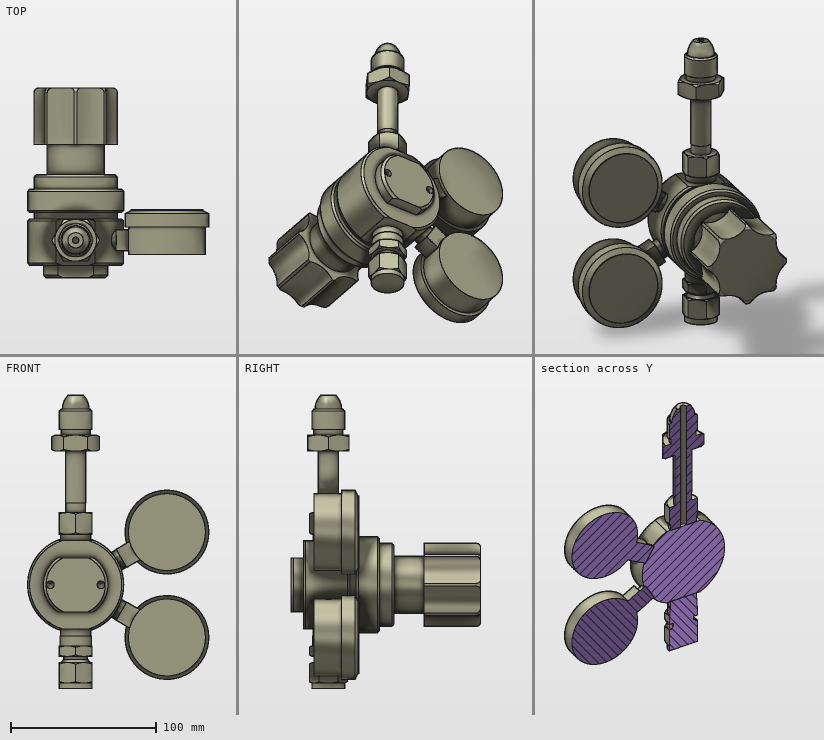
import cadquery as cq
import math


body_radius = 33.2
body_front_y = -17.2
body_back_y = 14.8
body_flat_z = 30.3
body_chamfer = 1.5
groove_radius = 28.7
ring_front_y = 19.2
ring_back_y = 35.2
bonnet_back_y = 45.3
bonnet_chamfer = 1.6
stem_radius = 19.8
stem_back_y = 66.0
cap_radius = 22.2
cap_front_y = -25.9
cap_chamfer = 1.8
cap_flat_z = 18.5
spanner_hole_x = 17.4
spanner_hole_radius = 2.6
spanner_hole_depth = 4.0
spanner_hole_point_angle = 118

knob_back_y = 105.0
knob_edge_fillet = 3.2
flute_count = 8
flute_depth = 5.3
land_width = 2.0

gauge_distance = 72.5
gauge_angles = (30, -30)
case_radius = 26.5
case_front_y = -10.0
rim_radius = 29.0
rim_front_y = 9.0
rim_edge_y = 18.4
rim_back_y = 21.2
rim_lip = 0.8
rim_bevel = 4.0
shank_width = 14.5
shank_start = 36.4
spigot_start = 31.3
spigot_radius = 7.0

connector_flats = 22.6
connector_hex_turn = 30
hex_chamfer_angle = 30
collar_radius = 10.5

inlet_hex_bottom_z = 34.8
inlet_hex_top_z = 49.7
stub_radius = 6.9
tube_bottom_z = 56.2
tube_radius = 7.0
nut_flats = 28.7
nut_bottom_z = 92.0
nut_top_z = 103.1
neck_radius = 10.1
thread_bottom_z = 107.0
thread_radius = 11.3
thread_chamfer = 1.2
nose_bottom_z = 121.0
nose_base_radius = 9.3
nose_middle_z = 127.0
nose_middle_radius = 7.9
nose_tip_radius = 5.3
inlet_top_z = 130.6
bore_radius = 2.2

outlet_collar_end_z = -35.4
outlet_shoulder_radius = 11.0
outlet_hex_top_z = -42.0
outlet_hex_bottom_z = -49.3
outlet_neck_radius = 8.3
outlet_flare_z = -51.4
outlet_flare_radius = 10.1
outlet_nut_top_z = -53.5
outlet_nut_bottom_z = -67.7
outlet_end_radius = connector_flats / 2
outlet_bottom_z = -71.5


def cylinder_y(radius, front_y, back_y):
    """Cylinder about the Y axis between two Y positions."""
    return cq.Workplane("XZ", origin=(0, front_y, 0)).circle(radius).extrude(front_y - back_y)


def cylinder_z(radius, bottom_z, top_z):
    """Cylinder about the Z axis between two Z positions."""
    return cq.Workplane("XY", origin=(0, 0, bottom_z)).circle(radius).extrude(top_z - bottom_z)


def cut_to_flats(solid, flat_z):
    """Cut a solid of the regulator off flat above and below its axis."""
    size = 4 * body_radius
    return solid.intersect(cq.Workplane("XY").box(size, size, 2 * flat_z))


def hexagon(flats, bottom_z, top_z, turn=0):
    """Hexagon about the Z axis with its corners chamfered at both ends."""
    corner_radius = flats / math.sqrt(3)
    prism = (
        cq.Workplane("XY", origin=(0, 0, bottom_z))
        .polygon(6, 2 * corner_radius)
        .extrude(top_z - bottom_z)
        .rotate((0, 0, 0), (0, 0, 1), turn)
    )
    chamfer_radial = corner_radius - flats / 2
    chamfer_axial = chamfer_radial * math.tan(math.radians(hex_chamfer_angle))
    envelope = (
        cq.Workplane("XZ")
        .moveTo(0, bottom_z)
        .lineTo(flats / 2, bottom_z)
        .lineTo(corner_radius, bottom_z + chamfer_axial)
        .lineTo(corner_radius, top_z - chamfer_axial)
        .lineTo(flats / 2, top_z)
        .lineTo(0, top_z)
        .close()
        .revolve(360, (0, 0, 0), (0, 1, 0))
    )
    return prism.intersect(envelope)


def along_gauge_shank(angle, distance):
    """Workplane facing outwards along a gauge shank, at a distance from the regulator axis."""
    direction = cq.Vector(math.cos(math.radians(angle)), 0, math.sin(math.radians(angle)))
    return cq.Workplane(cq.Plane(direction * distance, xDir=(0, 1, 0), normal=direction))


def make_spigot(angle):
    """Round end of a gauge shank, also the shape of its socket in the regulator."""
    return along_gauge_shank(angle, spigot_start).circle(spigot_radius).extrude(shank_start - spigot_start)


def make_spanner_hole(hole_x):
    """Drilled hole in the front of the cap, with a conical bottom."""
    point_depth = spanner_hole_radius / math.tan(math.radians(spanner_hole_point_angle / 2))
    return (
        cq.Workplane("XY", origin=(hole_x, cap_front_y, 0))
        .lineTo(spanner_hole_radius, 0)
        .lineTo(spanner_hole_radius, spanner_hole_depth)
        .lineTo(0, spanner_hole_depth + point_depth)
        .close()
        .revolve(360, (0, 0, 0), (0, 1, 0))
    )


def make_regulator():
    valve_body = cylinder_y(body_radius, body_front_y, body_back_y).edges().chamfer(body_chamfer)
    valve_body = cut_to_flats(valve_body, body_flat_z)

    cap = cylinder_y(cap_radius, cap_front_y, body_front_y).faces("<Y").edges().chamfer(cap_chamfer)
    cap = cut_to_flats(cap, cap_flat_z)

    groove = cylinder_y(groove_radius, body_back_y, ring_front_y)
    ring = cylinder_y(body_radius, ring_front_y, ring_back_y).edges().chamfer(body_chamfer)
    bonnet = cylinder_y(groove_radius, ring_back_y, bonnet_back_y).faces(">Y").edges().chamfer(bonnet_chamfer)
    stem = cylinder_y(stem_radius, bonnet_back_y, stem_back_y)
    regulator = valve_body.union(cap).union(groove).union(ring).union(bonnet).union(stem)

    for hole_x in (-spanner_hole_x, spanner_hole_x):
        regulator = regulator.cut(make_spanner_hole(hole_x))
    for angle in gauge_angles:
        regulator = regulator.cut(make_spigot(angle))
    return regulator


def make_knob():
    knob = cylinder_y(groove_radius, stem_back_y, knob_back_y).faces(">Y").edges().fillet(knob_edge_fillet)

    pitch = 2 * math.pi / flute_count
    half_angle = pitch / 2 - land_width / (2 * groove_radius)
    half_chord = groove_radius * math.sin(half_angle)
    arc_height = groove_radius * math.cos(half_angle) - (groove_radius - flute_depth)
    flute_radius = (half_chord**2 + arc_height**2) / (2 * arc_height)
    flute_distance = groove_radius - flute_depth + flute_radius

    flutes = (
        cq.Workplane("XZ", origin=(0, stem_back_y, 0))
        .polarArray(flute_distance, math.degrees(pitch / 2), 360, flute_count)
        .circle(flute_radius)
        .extrude(stem_back_y - knob_back_y, combine=False)
    )
    for flute in flutes.vals():
        knob = knob.cut(cq.Workplane(flute))
    return knob


def make_gauge(angle):
    center_x = gauge_distance * math.cos(math.radians(angle))
    center_z = gauge_distance * math.sin(math.radians(angle))
    dial = (
        cq.Workplane("XY")
        .moveTo(0, case_front_y)
        .lineTo(case_radius, case_front_y)
        .lineTo(case_radius, rim_front_y)
        .lineTo(rim_radius, rim_front_y)
        .lineTo(rim_radius, rim_edge_y)
        .lineTo(rim_radius - rim_bevel, rim_back_y - rim_lip)
        .lineTo(rim_radius - rim_bevel, rim_back_y)
        .lineTo(0, rim_back_y)
        .close()
        .revolve(360, (0, 0, 0), (0, 1, 0))
        .translate((center_x, 0, center_z))
    )
    shank = (
        along_gauge_shank(angle, shank_start)
        .rect(shank_width, shank_width)
        .extrude(gauge_distance - shank_start)
    )
    return dial.union(shank).union(make_spigot(angle))


def make_inlet():
    collar = cylinder_z(collar_radius, body_flat_z, inlet_hex_bottom_z)
    connector = hexagon(connector_flats, inlet_hex_bottom_z, inlet_hex_top_z, connector_hex_turn)
    stub = cylinder_z(stub_radius, inlet_hex_top_z, tube_bottom_z)
    tube = cylinder_z(tube_radius, tube_bottom_z, nut_bottom_z)
    nut = hexagon(nut_flats, nut_bottom_z, nut_top_z)
    neck = cylinder_z(neck_radius, nut_top_z, thread_bottom_z)
    thread = cylinder_z(thread_radius, thread_bottom_z, nose_bottom_z).faces(">Z").edges().chamfer(thread_chamfer)
    nose = (
        cq.Workplane("XZ")
        .moveTo(0, nose_bottom_z)
        .lineTo(nose_base_radius, nose_bottom_z)
        .threePointArc((nose_middle_radius, nose_middle_z), (nose_tip_radius, inlet_top_z))
        .lineTo(0, inlet_top_z)
        .close()
        .revolve(360, (0, 0, 0), (0, 1, 0))
    )
    inlet = collar
    for section in (connector, stub, tube, nut, neck, thread, nose):
        inlet = inlet.union(section)
    return inlet.cut(cylinder_z(bore_radius, body_flat_z, inlet_top_z))


def make_outlet():
    collar = cylinder_z(collar_radius, outlet_collar_end_z, -body_flat_z)
    shoulder = cylinder_z(outlet_shoulder_radius, outlet_hex_top_z, outlet_collar_end_z)
    connector = hexagon(connector_flats, outlet_hex_bottom_z, outlet_hex_top_z, connector_hex_turn)
    neck = (
        cq.Workplane("XZ")
        .moveTo(0, outlet_hex_bottom_z)
        .lineTo(outlet_neck_radius, outlet_hex_bottom_z)
        .lineTo(outlet_neck_radius, outlet_flare_z)
        .lineTo(outlet_flare_radius, outlet_nut_top_z)
        .lineTo(0, outlet_nut_top_z)
        .close()
        .revolve(360, (0, 0, 0), (0, 1, 0))
    )
    nut = hexagon(connector_flats, outlet_nut_bottom_z, outlet_nut_top_z, connector_hex_turn)
    end = cylinder_z(outlet_end_radius, outlet_bottom_z, outlet_nut_bottom_z)
    outlet = collar
    for section in (shoulder, connector, neck, nut, end):
        outlet = outlet.union(section)
    return outlet


regulator = make_regulator()
knob = make_knob()
inlet = make_inlet()
outlet = make_outlet()
gauges = [make_gauge(angle) for angle in gauge_angles]

result = cq.Compound.makeCompound(
    [
        regulator.val(),
        knob.val(),
        inlet.val(),
        outlet.val(),
        *[gauge.val() for gauge in gauges],
    ]
)